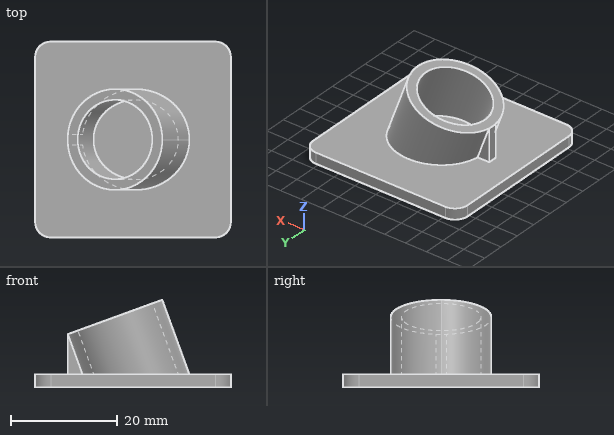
import cadquery as cq
import math

plate_side = 37.0
plate_thickness = 2.5
corner_radius = 3.0

overall_height = 16.55
tube_diameter = 19.0
bore_diameter = 15.0
tilt_deg = 20.0
rim_center_x = -3.4

rib_width = 2.0

tilt = math.radians(tilt_deg)
tube_radius = tube_diameter / 2
wall = (tube_diameter - bore_diameter) / 2
rim_center_z = overall_height - tube_radius * math.sin(tilt)
rim_low_x = rim_center_x - tube_radius * math.cos(tilt)
rim_low_z = rim_center_z - tube_radius * math.sin(tilt)


def tilted_cylinder(diameter):
    """Cylinder from the tilted rim down the tube axis, ending flat on the plate's top face."""
    rim_plane = cq.Plane(
        origin=(rim_center_x, 0, rim_center_z),
        xDir=(math.cos(tilt), 0, math.sin(tilt)),
        normal=(-math.sin(tilt), 0, math.cos(tilt)),
    )
    cylinder = cq.Workplane(rim_plane).circle(diameter / 2).extrude(-plate_side)
    above_plate = (
        cq.Workplane("XY")
        .workplane(offset=plate_thickness)
        .rect(2 * plate_side, 2 * plate_side)
        .extrude(plate_side)
    )
    return cylinder.intersect(above_plate)


def make_rib():
    """Vertical rib from the rim's lowest point, filling the overhang up to mid-wall."""
    inset = wall / 2
    inner_top_x = rim_low_x + inset * math.cos(tilt)
    inner_top_z = rim_low_z + inset * math.sin(tilt)
    inner_foot_x = inner_top_x + (inner_top_z - plate_thickness) * math.tan(tilt)
    return (
        cq.Workplane("XZ")
        .moveTo(rim_low_x, rim_low_z)
        .lineTo(rim_low_x, plate_thickness)
        .lineTo(inner_foot_x, plate_thickness)
        .lineTo(inner_top_x, inner_top_z)
        .close()
        .extrude(rib_width / 2, both=True)
    )


plate = (
    cq.Workplane("XY")
    .rect(plate_side, plate_side)
    .extrude(plate_thickness)
    .edges("|Z")
    .fillet(corner_radius)
)

tube = tilted_cylinder(tube_diameter).cut(tilted_cylinder(bore_diameter))
result = plate.union(tube).union(make_rib())